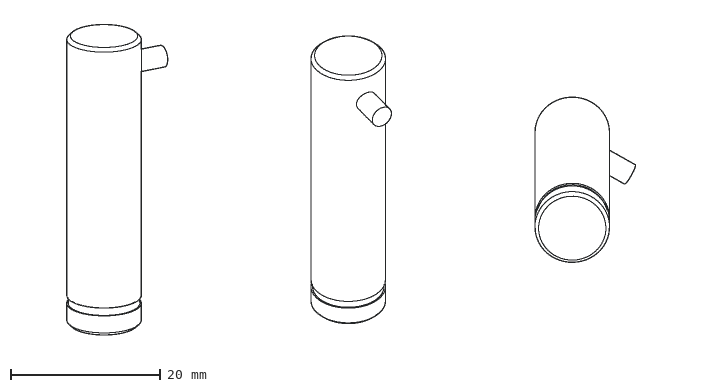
import cadquery as cq

rod_length = 41.0
rod_diameter = 10.0
edge_chamfer = 0.5

groove_diameter = 9.6
groove_bottom = 2.9
groove_width = 1.1

pin_diameter = 3.0
pin_tip_y = 8.98
pin_drop = 4.5
pin_height = rod_length - pin_drop


def make_pin():
    """Plain round pin running along +Y from the rod axis."""
    start = cq.Plane(origin=(0, 0, pin_height), xDir=(1, 0, 0), normal=(0, 1, 0))
    return cq.Workplane(start).circle(pin_diameter / 2).extrude(pin_tip_y)


def make_groove():
    """Ring of material removed from the rod to form the groove."""
    return (
        cq.Workplane("XY")
        .workplane(offset=groove_bottom)
        .circle(rod_diameter / 2)
        .circle(groove_diameter / 2)
        .extrude(groove_width)
    )


def make_rod():
    """Chamfered cylinder with the ring groove and a blind hole fitting the pin."""
    blank = cq.Workplane("XY").circle(rod_diameter / 2).extrude(rod_length)
    chamfered = blank.faces("<Z or >Z").chamfer(edge_chamfer)
    return chamfered.cut(make_groove()).cut(make_pin())


rod = make_rod()
pin = make_pin()

result = cq.Compound.makeCompound([rod.val(), pin.val()])